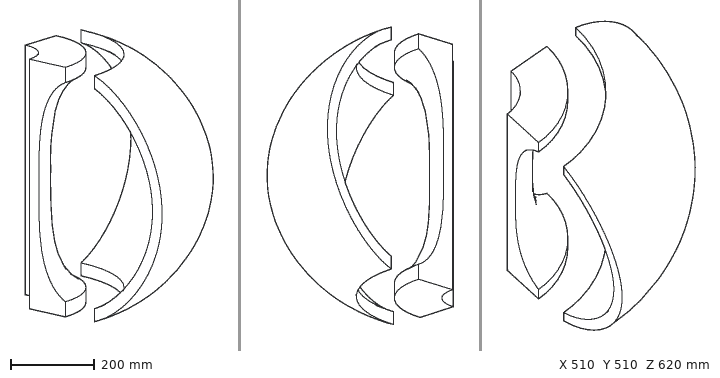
import cadquery as cq
import math

sector_angle = 90.0
height = 620.0

column_inner_radius = 91.0
column_outer_radius = 205.0
waist_edge = (column_outer_radius, 272.0)
waist_shoulder = [(164.0, 239.5), (136.0, 181.0), (125.0, 126.5)]
waist_middle = (121.0, 0.0)

shell_outer_radius = 510.0
shell_thickness = 30.5
shell_bore_radius = 296.5
chamber_major_radius = 296.0
chamber_minor_radius = shell_outer_radius - shell_thickness - chamber_major_radius
chamber_half_height = 285.0
chamber_triangularity = 0.3
profile_end_angle = 0.5 * math.pi
profile_steps = 16


def revolve_sector(profile):
    """Turn an XZ profile about Z, from +X round to +Y."""
    return profile.revolve(sector_angle, (0, 0, 0), (0, 1, 0))


def mirrored_below(points):
    """The same points below the mid-plane, in reverse order."""
    return [(radius, -z) for radius, z in reversed(points)]


def make_column():
    """Quarter tube whose outer face has a smooth waist."""
    upper_waist = [waist_edge] + waist_shoulder
    waist = upper_waist + [waist_middle] + mirrored_below(upper_waist)
    profile = (
        cq.Workplane("XZ")
        .moveTo(column_inner_radius, height / 2)
        .lineTo(column_outer_radius, height / 2)
        .lineTo(*waist_edge)
        .spline(waist[1:], includeCurrent=True)
        .lineTo(column_outer_radius, -height / 2)
        .lineTo(column_inner_radius, -height / 2)
        .close()
    )
    return revolve_sector(profile)


def d_curve_point(angle, offset):
    """Point on the chamber's D curve, moved outward along its normal."""
    phase = angle + chamber_triangularity * math.sin(angle)
    phase_rate = 1 + chamber_triangularity * math.cos(angle)
    radius = chamber_major_radius + chamber_minor_radius * math.cos(phase)
    z = chamber_half_height * math.sin(angle)
    radius_rate = -chamber_minor_radius * math.sin(phase) * phase_rate
    z_rate = chamber_half_height * math.cos(angle)
    speed = math.hypot(radius_rate, z_rate)
    return (radius + offset * z_rate / speed, z - offset * radius_rate / speed)


def d_curve(offset):
    """Points along the outboard side of the D, from bottom to top."""
    step = 2 * profile_end_angle / profile_steps
    angles = [-profile_end_angle + i * step for i in range(profile_steps + 1)]
    return [d_curve_point(angle, offset) for angle in angles]


def make_shell():
    """Quarter of a D-section shell, open where the bore passes through."""
    inner = d_curve(0.0)
    outer = d_curve(shell_thickness)
    profile = (
        cq.Workplane("XZ")
        .moveTo(*inner[0])
        .spline(inner[1:], includeCurrent=True)
        .lineTo(*outer[-1])
        .spline(outer[-2::-1], includeCurrent=True)
        .close()
    )
    bore = cq.Workplane("XY").circle(shell_bore_radius).extrude(height, both=True)
    return revolve_sector(profile).cut(bore)


column = make_column()
shell = make_shell()

result = cq.Compound.makeCompound([column.val(), shell.solids().val()])